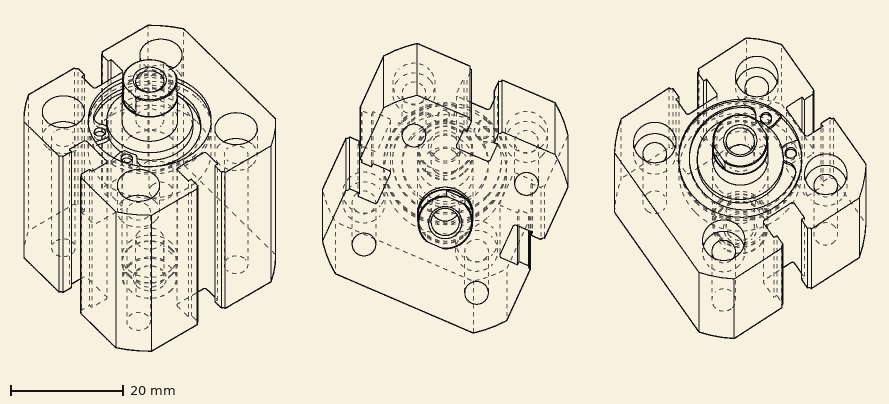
import cadquery as cq
import math


housing_width = 36.0
housing_height = 37.0
corner_diameter = 45.0
bolt_spacing = 22.0
bolt_hole_diameter = 4.2
counterbore_diameter = 7.55
counterbore_depth = 7.0
slot_mouth_width = 5.3
slot_inner_width = 6.6
slot_lip_depth = 2.45
slot_depth = 6.05
slot_fillet = 0.5

rod_diameter = 10.0
rod_above = 11.0
rod_below = 6.0
neck_diameter = 9.8
neck_length = 4.45
flat_distance = 9.05
rod_end_chamfer = 0.15
tapped_hole_diameter = 5.0
tapped_hole_mouth = 5.95
tapped_hole_depth = 10.8
drill_angle = 118.0

cover_diameter = 22.0
cover_boss_diameter = 15.4
cover_thickness = 6.5

ring_recess = 1.0
ring_thickness = 1.0
ring_opening_radius = 9.7
ring_opening_offset = 0.75
lug_hole_diameter = 2.0
lug_hole_x = 3.95
lug_hole_y = -8.2
lug_radius = 1.85
lug_fillet = 1.8

cover_top = housing_height - ring_recess - ring_thickness
cover_bottom = cover_top - cover_thickness


def cylinder(diameter, bottom, top):
    """Upright cylinder on the Z axis between two heights."""
    return cq.Workplane("XY").workplane(offset=bottom).circle(diameter / 2).extrude(top - bottom)


def slot_cutter():
    """T-slot along the height of the -Y side, with rounded inner and mouth corners."""
    face_y = -housing_width / 2
    bottom_y = face_y + slot_depth
    lip_y = face_y + slot_lip_depth
    mouth_x = slot_mouth_width / 2
    inner_x = slot_inner_width / 2
    r = slot_fillet
    profile = (
        cq.Workplane("XY")
        .moveTo(-mouth_x - r, face_y)
        .radiusArc((-mouth_x, face_y + r), r)
        .lineTo(-mouth_x, lip_y)
        .lineTo(-inner_x, lip_y)
        .lineTo(-inner_x, bottom_y - r)
        .radiusArc((-inner_x + r, bottom_y), r)
        .lineTo(inner_x - r, bottom_y)
        .radiusArc((inner_x, bottom_y - r), r)
        .lineTo(inner_x, lip_y)
        .lineTo(mouth_x, lip_y)
        .lineTo(mouth_x, face_y + r)
        .radiusArc((mouth_x + r, face_y), r)
        .close()
    )
    return profile.extrude(housing_height)


def make_housing():
    """Square extrusion with rounded corners, three T-slots, four bolt holes and the cover pocket."""
    body = cq.Workplane("XY").rect(housing_width, housing_width).extrude(housing_height)
    body = body.intersect(cylinder(corner_diameter, 0, housing_height))
    for angle in (-90, 0, 90):
        body = body.cut(slot_cutter().rotate((0, 0, 0), (0, 0, 1), angle))
    body = (
        body.faces(">Z")
        .workplane(origin=(0, 0, housing_height))
        .rect(bolt_spacing, bolt_spacing, forConstruction=True)
        .vertices()
        .cboreHole(bolt_hole_diameter, counterbore_diameter, counterbore_depth)
    )
    body = body.cut(cylinder(cover_diameter, cover_bottom, housing_height))
    return body.cut(cylinder(rod_diameter, 0, housing_height))


def rod_end_cutter():
    """Material removed from a rod end at z = 0, the rod lying below: neck, flats and tapped hole."""
    neck_radius = neck_diameter / 2
    outside = rod_diameter

    neck = (
        cq.Workplane("XZ")
        .moveTo(neck_radius - rod_end_chamfer, 0)
        .lineTo(neck_radius, -rod_end_chamfer)
        .lineTo(neck_radius, -neck_length)
        .lineTo(outside, -neck_length)
        .lineTo(outside, 0)
        .close()
        .revolve(360, (0, 0, 0), (0, 1, 0))
    )

    flat_y = flat_distance / 2
    flat_length = neck_length - (rod_diameter / 2 - flat_y)
    flat = (
        cq.Workplane("YZ")
        .moveTo(flat_y, 0)
        .lineTo(flat_y, -flat_length)
        .lineTo(outside, -flat_length - (outside - flat_y))
        .lineTo(outside, 0)
        .close()
        .extrude(rod_diameter / 2, both=True)
    )

    hole_radius = tapped_hole_diameter / 2
    mouth_radius = tapped_hole_mouth / 2
    tip_length = hole_radius / math.tan(math.radians(drill_angle / 2))
    hole = (
        cq.Workplane("XZ")
        .lineTo(mouth_radius, 0)
        .lineTo(hole_radius, hole_radius - mouth_radius)
        .lineTo(hole_radius, -tapped_hole_depth)
        .lineTo(0, -tapped_hole_depth - tip_length)
        .close()
        .revolve(360, (0, 0, 0), (0, 1, 0))
    )
    return neck.union(flat).union(flat.mirror("XZ")).union(hole)


def make_rod():
    """Rod through the whole cylinder with the same machined end at top and bottom."""
    rod_top = housing_height + rod_above
    body = cylinder(rod_diameter, -rod_below, rod_top)
    end = rod_end_cutter()
    body = body.cut(end.translate((0, 0, rod_top)))
    return body.cut(end.mirror("XY").translate((0, 0, -rod_below)))


def make_cover():
    """Disc in the housing pocket with a boss flush with the housing top, bored for the rod."""
    disc = cylinder(cover_diameter, cover_bottom, cover_top)
    boss = cylinder(cover_boss_diameter, cover_bottom, housing_height)
    return disc.union(boss).cut(cylinder(rod_diameter, cover_bottom, housing_height))


def fillet_center():
    """Centre, on the +X side, of the arc that joins the ring opening to the lug."""
    opening_distance = ring_opening_radius - lug_fillet
    lug_distance = lug_radius + lug_fillet
    dx = lug_hole_x
    dy = lug_hole_y + ring_opening_offset
    spacing = math.hypot(dx, dy)
    along = (opening_distance**2 - lug_distance**2 + spacing**2) / (2 * spacing)
    across = math.sqrt(opening_distance**2 - along**2)
    return (
        (dx * along - dy * across) / spacing,
        (dy * along + dx * across) / spacing - ring_opening_offset,
    )


def make_ring():
    """Snap ring with an eccentric opening, a gap at -Y and a drilled lug on each side of the gap."""
    bottom = cover_top
    top = bottom + ring_thickness
    plane = cq.Workplane("XY").workplane(offset=bottom)
    fillet_x, fillet_y = fillet_center()

    opening_center_y = -ring_opening_offset
    reach = ring_opening_radius / (ring_opening_radius - lug_fillet)
    opening_end = (fillet_x * reach, opening_center_y + (fillet_y - opening_center_y) * reach)
    share = lug_radius / (lug_radius + lug_fillet)
    lug_end = (
        lug_hole_x + (fillet_x - lug_hole_x) * share,
        lug_hole_y + (fillet_y - lug_hole_y) * share,
    )

    lug_distance = math.hypot(lug_hole_x, lug_hole_y)
    gap_angle = math.atan2(lug_hole_x, -lug_hole_y) - math.asin(lug_radius / lug_distance)
    touch_distance = math.sqrt(lug_distance**2 - lug_radius**2)
    touch_x = touch_distance * math.sin(gap_angle)
    touch_y = -touch_distance * math.cos(gap_angle)
    outside = cover_diameter
    gap_x = outside * math.sin(gap_angle)
    gap_y = -outside * math.cos(gap_angle)

    opening = (
        plane.moveTo(-opening_end[0], opening_end[1])
        .threePointArc((0, opening_center_y + ring_opening_radius), opening_end)
        .radiusArc(lug_end, lug_fillet)
        .radiusArc((touch_x, touch_y), -lug_radius)
        .lineTo(gap_x, gap_y)
        .lineTo(-gap_x, gap_y)
        .lineTo(-touch_x, touch_y)
        .radiusArc((-lug_end[0], lug_end[1]), -lug_radius)
        .radiusArc((-opening_end[0], opening_end[1]), lug_fillet)
        .close()
        .extrude(ring_thickness)
    )
    lug_holes = (
        plane.pushPoints([(-lug_hole_x, lug_hole_y), (lug_hole_x, lug_hole_y)])
        .circle(lug_hole_diameter / 2)
        .extrude(ring_thickness)
    )
    body = cylinder(cover_diameter, bottom, top).cut(opening).cut(lug_holes)
    return body.cut(cylinder(cover_boss_diameter, bottom, top))


housing = make_housing()
rod = make_rod()
cover = make_cover()
ring = make_ring()

bodies = [housing, rod, cover, ring]
result = cq.Compound.makeCompound([body.solids().val() for body in bodies])